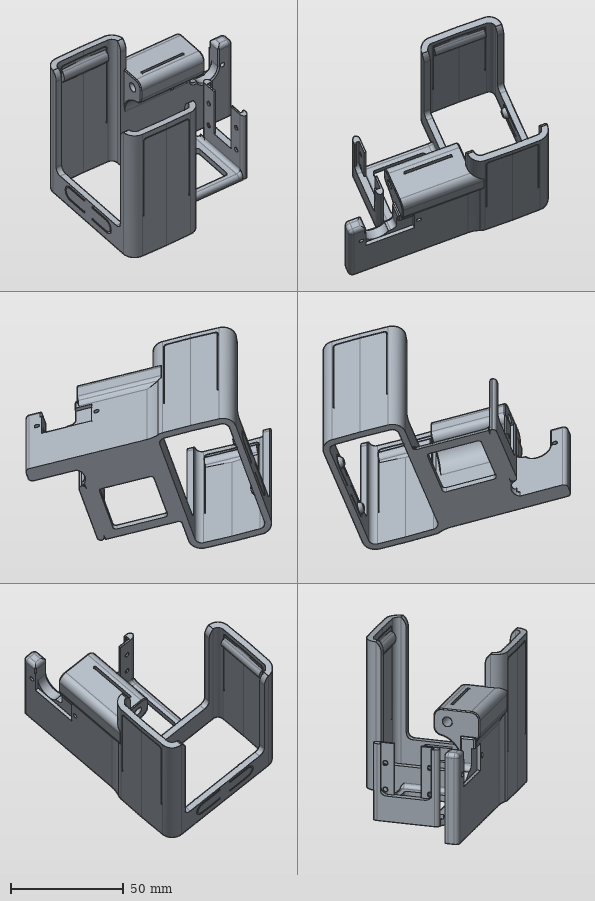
import cadquery as cq
import math

HEIGHT = 70.0
DEPTH = 38.4
PEAK_HALF = 33.1
CORNER_HALF = 32.8
WALL = 3.0
CORNER_R = 6.1
MID_Y = DEPTH / 2

WINDOW_HALF = 24.4
SILL_Z = 12.9
SILL_R = 3.0
FLARE_R = 6.0
FLARE_DROP = 4.8

TONGUE_HALF = 12.7
TONGUE_TOP = 67.1
TONGUE_ROOT = 22.8
TONGUE_GAP = 0.4
TONGUE_R = 1.6
RIDGE_HALF = 12.2
RIDGE_Z = 61.2
RIDGE_HALF_HEIGHT = 4.7
RIDGE_RISE = 2.2
RIDGE_FOOT = 0.9

TAB_X = 13.8
TAB_Z = 7.7
TAB_SLOT_R = 3.8
TAB_SLOT_W = 0.8
TAB_ROOT_X = 3.0
BUTTON_R = 2.8
BUTTON_TIP_R = 1.5
BUTTON_RISE = 2.0
BUTTON_BULGE = 0.3

ARM_LEFT = -31.4
ARM_RIGHT = -WINDOW_HALF
ARM_END = 96.9
ARM_TOP = 42.5
ARM_EDGE_R = 2.0
ARM_BLEND_R = 14.0

NOTCH_FRONT = 73.7
NOTCH_BACK = 89.0
NOTCH_FLOOR = 24.9
NOTCH_R = 6.2
NOTCH_STEP_R = 2.8
NOTCH_STEP_Z = 27.8
NOTCH_CHAMFER = 0.7
POCKET_FRONT = 65.8
POCKET_TOP = 37.6
POCKET_DEPTH = 1.6
PIN_HOLE_D = 2.3
PIN_HOLE_Z = 31.3
PIN_HOLE_YS = (63.5, 91.25)

BARREL_LEFT = -PEAK_HALF
BARREL_RIGHT = -11.5
BARREL_TOP = 54.4
BARREL_R = 4.0
BARREL_FRONT = 37.2
BARREL_CORNER_FRONT = 32.9
BARREL_BACK = 72.3
BARREL_LEFT_LOW = 43.9
BARREL_RIGHT_LOW = 45.6
LEFT_COVE_R = 5.0
RIGHT_COVE_R = 12.0
BARREL_CHAMFER = 0.5
BORE_X = -17.9
BORE_Z = 48.4
BORE_D = 4.6
VENT_W = 1.2
VENT_END_R = 0.5
VENT_FRONT = 42.2
VENT_BACK = 65.3

PLATE_HALF = 15.6
PLATE_FRONT = 73.6
PLATE_BACK = 76.9
PLATE_TOP = 36.2
PLATE_END_R = 2.0
FLOOR_THICK = 3.0
FLOOR_R = 2.0
FLOOR_SIDE_R = 1.5
FLOOR_WINDOW_HALF = 11.5
FLOOR_WINDOW_FRONT = 43.2
FLOOR_WINDOW_BACK = 68.5
FLOOR_WINDOW_R = 1.5
SCALLOP_R = 5.0
SCALLOP_Y = 77.4

BOARD_LOW = 12.0
LIP_OPENING_HALF = 6.4
LIP_BACK = 74.5
SLOT_HALF = 12.5
SLOT_BACK = 76.0
SLOT_R = 3.7
OUTER_OPENING_HALF = 11.9
SCREW_D = 2.2
SCREW_X = 10.5
SCREW_ZS = (14.0, 26.5)

OVERLAP = 1.0
PICK = 0.1


def box(x0, x1, y0, y1, z0, z1):
    return cq.Workplane("XY").box(x1 - x0, y1 - y0, z1 - z0, centered=False).translate((x0, y0, z0))


def near(x0, x1, y0, y1, z0, z1):
    """Selector for edges centred inside the given box, taken with a small margin."""
    return cq.selectors.BoxSelector((x0 - PICK, y0 - PICK, z0 - PICK), (x1 + PICK, y1 + PICK, z1 + PICK))


def bowed_block(inset, radius):
    """Full-height block whose two sides rise to a slight ridge at mid depth."""
    corner = CORNER_HALF - inset
    peak = PEAK_HALF - inset
    back = DEPTH - inset
    right = [(corner, inset), (peak, MID_Y), (corner, back)]
    left = [(-x, y) for x, y in reversed(right)]
    block = cq.Workplane("XY").polyline(right + left).close().extrude(HEIGHT)
    return block.edges("|Z").edges("<Y or >Y").fillet(radius)


def cage_window():
    """Opening through front and back, flaring outwards at the top."""
    flare_x = WINDOW_HALF + FLARE_R - math.sqrt(FLARE_R**2 - FLARE_DROP**2)
    half_angle = math.asin(FLARE_DROP / FLARE_R) / 2
    flare_z = HEIGHT - FLARE_DROP
    mid_x = WINDOW_HALF + FLARE_R * (1 - math.cos(half_angle))
    mid_z = flare_z + FLARE_R * math.sin(half_angle)
    return (
        cq.Workplane("XZ")
        .moveTo(-WINDOW_HALF, SILL_Z)
        .lineTo(WINDOW_HALF, SILL_Z)
        .lineTo(WINDOW_HALF, flare_z)
        .threePointArc((mid_x, mid_z), (flare_x, HEIGHT))
        .lineTo(-flare_x, HEIGHT)
        .threePointArc((-mid_x, mid_z), (-WINDOW_HALF, flare_z))
        .close()
        .extrude(-DEPTH)
        .edges("|Y and <Z")
        .fillet(SILL_R)
    )


def tongue_slot():
    """Thin gap around the top and sides of both tongues."""

    def panel(inset):
        half = TONGUE_HALF - inset
        return box(
            -PEAK_HALF, PEAK_HALF, MID_Y - half, MID_Y + half, TONGUE_ROOT, TONGUE_TOP - inset
        ).edges("|X and >Z").fillet(TONGUE_R - inset)

    return panel(0).cut(panel(TONGUE_GAP))


def catch_ridge():
    """Rounded ridge on the inner face of the left tongue."""
    face_x = WALL - PEAK_HALF
    root_x = face_x - WALL / 2
    low = RIDGE_Z - RIDGE_HALF_HEIGHT
    high = RIDGE_Z + RIDGE_HALF_HEIGHT
    foot_x = face_x + RIDGE_FOOT
    turn = 2 * math.atan(RIDGE_RISE / RIDGE_HALF_HEIGHT)
    foot_r = RIDGE_FOOT / (1 - math.cos(turn))
    foot_height = foot_r * math.sin(turn)
    sag_x = face_x + foot_r * (1 - math.cos(turn / 2))
    sag_height = foot_r * math.sin(turn / 2)
    return (
        cq.Workplane("XZ", origin=(0, MID_Y - RIDGE_HALF, 0))
        .moveTo(root_x, low)
        .lineTo(face_x, low)
        .threePointArc((sag_x, low + sag_height), (foot_x, low + foot_height))
        .threePointArc((face_x + RIDGE_RISE, RIDGE_Z), (foot_x, high - foot_height))
        .threePointArc((sag_x, high - sag_height), (face_x, high))
        .lineTo(root_x, high)
        .close()
        .extrude(-2 * RIDGE_HALF)
    )


def tab_slot():
    """U-shaped slot that frees the left spring tab."""

    def outline(radius):
        disc = cq.Workplane("XZ").center(-TAB_X, TAB_Z).circle(radius).extrude(-WALL)
        return disc.union(box(-TAB_X, -TAB_ROOT_X, 0, WALL, TAB_Z - radius, TAB_Z + radius))

    return outline(TAB_SLOT_R).cut(outline(TAB_SLOT_R - TAB_SLOT_W))


def tab_button():
    slant = math.hypot(BUTTON_R - BUTTON_TIP_R, BUTTON_RISE)
    flank_r = (BUTTON_R + BUTTON_TIP_R) / 2 + BUTTON_BULGE * BUTTON_RISE / slant
    flank_rise = BUTTON_RISE / 2 + BUTTON_BULGE * (BUTTON_R - BUTTON_TIP_R) / slant
    return (
        cq.Workplane("YZ", origin=(-TAB_X, WALL, TAB_Z))
        .lineTo(0, BUTTON_R)
        .threePointArc((flank_rise, flank_r), (BUTTON_RISE, BUTTON_TIP_R))
        .lineTo(BUTTON_RISE, 0)
        .close()
        .revolve(360, (0, 0), (1, 0))
    )


def mirrored_pair(solid):
    return solid.union(solid.mirror("YZ"))


def arm():
    """Upright wall with a notch, whose rear post has rounded edges."""
    wall = box(ARM_LEFT, ARM_RIGHT, DEPTH - WALL, ARM_END, 0, ARM_TOP).cut(arm_notch())
    post_top = near(ARM_LEFT, ARM_RIGHT, NOTCH_BACK, ARM_END, ARM_TOP, ARM_TOP)
    rounded = wall.edges("|Z and >Y").add(wall.edges(post_top)).fillet(ARM_EDGE_R)
    front_lip = near(ARM_LEFT, ARM_RIGHT, NOTCH_FRONT, NOTCH_FRONT, ARM_TOP, ARM_TOP)
    return rounded.edges(front_lip).chamfer(NOTCH_CHAMFER).cut(notch_chamfers())


def arm_blend():
    """Hollow blend, tangent to the arm's left face and to the round cage corner."""
    lean = (PEAK_HALF - CORNER_HALF) * CORNER_R / MID_Y
    corner_x = CORNER_R - CORNER_HALF - lean
    corner_y = DEPTH - CORNER_R
    center_x = ARM_LEFT - ARM_BLEND_R
    reach = CORNER_R + ARM_BLEND_R
    center_y = corner_y + math.sqrt(reach**2 - (corner_x - center_x) ** 2)
    end_angle = math.atan2(corner_y - center_y, corner_x - center_x)

    def on_blend(angle):
        return (center_x + ARM_BLEND_R * math.cos(angle), center_y + ARM_BLEND_R * math.sin(angle))

    return (
        cq.Workplane("XY")
        .moveTo(ARM_LEFT, center_y)
        .threePointArc(on_blend(end_angle / 2), on_blend(end_angle))
        .lineTo(corner_x, corner_y)
        .lineTo(corner_x, center_y)
        .close()
        .extrude(BARREL_LEFT_LOW - LEFT_COVE_R / 2)
    )


def notch_outline(x):
    """Round-bottomed notch through the arm, with a shallow step on its front side."""
    center_y = NOTCH_BACK - NOTCH_R
    center_z = NOTCH_FLOOR + NOTCH_R
    step_y = center_y - math.sqrt(NOTCH_R**2 - (center_z - NOTCH_STEP_Z) ** 2)
    diagonal = math.sqrt(0.5)
    top = ARM_TOP + OVERLAP
    return (
        cq.Workplane("YZ", origin=(x, 0, 0))
        .moveTo(NOTCH_BACK, top)
        .lineTo(NOTCH_BACK, center_z)
        .threePointArc((center_y, NOTCH_FLOOR), (step_y, NOTCH_STEP_Z))
        .lineTo(NOTCH_FRONT + NOTCH_STEP_R, NOTCH_STEP_Z)
        .threePointArc(
            (NOTCH_FRONT + NOTCH_STEP_R * (1 - diagonal), NOTCH_STEP_Z + NOTCH_STEP_R * (1 - diagonal)),
            (NOTCH_FRONT, NOTCH_STEP_Z + NOTCH_STEP_R),
        )
        .lineTo(NOTCH_FRONT, top)
        .close()
    )


def arm_notch():
    return notch_outline(ARM_LEFT).extrude(ARM_RIGHT - ARM_LEFT)


def notch_chamfers():
    """Bevel around the notch: all of it on the right face, only above the pocket on the left face."""
    inner_x = ARM_RIGHT - NOTCH_CHAMFER
    right = notch_outline(inner_x).extrude(NOTCH_CHAMFER, taper=-45)
    middle_x = (ARM_LEFT + ARM_RIGHT) / 2
    above_pocket = box(ARM_LEFT, middle_x, NOTCH_FRONT - OVERLAP, ARM_END, POCKET_TOP, ARM_TOP)
    return right.union(right.mirror("YZ", (middle_x, 0, 0)).intersect(above_pocket))


def barrel_side(edge_x, low_z, arm_x, cove_r):
    """Mid and end points of the round under one barrel side and of the cove running onto the arm."""
    side = math.copysign(1, edge_x - arm_x)
    reach = BARREL_R + cove_r
    round_x = edge_x - side * BARREL_R
    cove_x = arm_x + side * cove_r
    angle = math.acos((cove_x - round_x) * side / reach)
    cove_z = low_z - reach * math.sin(angle)

    def on_round(a):
        return (round_x + side * BARREL_R * math.cos(a), low_z - BARREL_R * math.sin(a))

    def on_cove(a):
        return (cove_x - side * cove_r * math.cos(a), cove_z + cove_r * math.sin(a))

    return on_round(angle / 2), on_round(angle), on_cove(angle / 2), (arm_x, cove_z)


def barrel_block(front):
    left = barrel_side(BARREL_LEFT, BARREL_LEFT_LOW, ARM_LEFT, LEFT_COVE_R)
    right = barrel_side(BARREL_RIGHT, BARREL_RIGHT_LOW, ARM_RIGHT, RIGHT_COVE_R)
    return (
        cq.Workplane("XZ", origin=(0, front, 0))
        .moveTo(BARREL_LEFT, BARREL_TOP)
        .lineTo(BARREL_LEFT, BARREL_LEFT_LOW)
        .threePointArc(left[0], left[1])
        .threePointArc(left[2], left[3])
        .lineTo(*right[3])
        .threePointArc(right[2], right[1])
        .threePointArc(right[0], (BARREL_RIGHT, BARREL_RIGHT_LOW))
        .lineTo(BARREL_RIGHT, BARREL_TOP)
        .close()
        .extrude(front - BARREL_BACK)
        .edges("|Y and >Z")
        .fillet(BARREL_R)
    )


def barrel():
    outside_cage = box(BARREL_LEFT, ARM_RIGHT, BARREL_CORNER_FRONT, DEPTH, 0, BARREL_TOP)
    nose = barrel_block(BARREL_CORNER_FRONT).intersect(outside_cage)
    return barrel_block(BARREL_FRONT).faces("<Y or >Y").chamfer(BARREL_CHAMFER).union(nose)


def barrel_bore():
    """Lengthwise bore with a narrow vent slot down to it from the top."""
    bore = (
        cq.Workplane("XZ", origin=(BORE_X, DEPTH - WALL, BORE_Z))
        .circle(BORE_D / 2)
        .extrude(DEPTH - WALL - BARREL_BACK)
    )
    vent = box(
        BORE_X - VENT_W / 2, BORE_X + VENT_W / 2, VENT_FRONT, VENT_BACK, BORE_Z, BARREL_TOP
    ).edges("|Z and >Y").fillet(VENT_END_R)
    return bore.union(vent)


def floor():
    """Slab from cage to plate with coves at both ends and a rounded right edge."""
    diagonal = FLOOR_R * (1 - math.sqrt(0.5))
    cove_top = FLOOR_THICK + FLOOR_R
    slab = (
        cq.Workplane("YZ", origin=(ARM_RIGHT, 0, 0))
        .moveTo(DEPTH, 0)
        .lineTo(PLATE_FRONT, 0)
        .lineTo(PLATE_FRONT, cove_top)
        .threePointArc((PLATE_FRONT - diagonal, FLOOR_THICK + diagonal), (PLATE_FRONT - FLOOR_R, FLOOR_THICK))
        .lineTo(DEPTH + FLOOR_R, FLOOR_THICK)
        .threePointArc((DEPTH + diagonal, FLOOR_THICK + diagonal), (DEPTH, cove_top))
        .close()
        .extrude(PLATE_HALF - ARM_RIGHT)
    )
    inner_front = DEPTH + 2 * PICK
    inner_back = PLATE_FRONT - 2 * PICK
    top_right = near(PLATE_HALF, PLATE_HALF, inner_front, inner_back, FLOOR_THICK, cove_top)
    slab = slab.edges(top_right).fillet(FLOOR_R)
    opening = box(
        -FLOOR_WINDOW_HALF, FLOOR_WINDOW_HALF, FLOOR_WINDOW_FRONT, FLOOR_WINDOW_BACK, 0, FLOOR_THICK
    ).edges("|Z").fillet(FLOOR_WINDOW_R)
    left_bay = box(ARM_RIGHT, -PLATE_HALF, DEPTH, PLATE_BACK, 0, FLOOR_THICK)
    return slab.cut(opening).union(left_bay).union(floor_side_blend())


def floor_side_blend():
    """Small hollow corner between the floor's right edge and the back of the cage."""
    corner = box(
        PLATE_HALF, PLATE_HALF + FLOOR_SIDE_R, DEPTH, DEPTH + FLOOR_SIDE_R, 0, FLOOR_THICK - FLOOR_R
    )
    hollow = (
        cq.Workplane("XY")
        .center(PLATE_HALF + FLOOR_SIDE_R, DEPTH + FLOOR_SIDE_R)
        .circle(FLOOR_SIDE_R)
        .extrude(FLOOR_THICK)
    )
    return corner.cut(hollow)


def plate():
    """Upright plate with round ends and a U-shaped slot that holds a small board."""
    half_thick = (PLATE_BACK - PLATE_FRONT) / 2
    flat_half = PLATE_HALF - math.sqrt(PLATE_END_R**2 - (PLATE_END_R - half_thick) ** 2)
    half_angle = math.acos(1 - half_thick / PLATE_END_R) / 2
    bulge_x = flat_half + PLATE_END_R * math.sin(half_angle)
    bulge_y = PLATE_END_R * (1 - math.cos(half_angle))
    ridge_y = PLATE_FRONT + half_thick
    body = (
        cq.Workplane("XY")
        .moveTo(-flat_half, PLATE_FRONT)
        .lineTo(flat_half, PLATE_FRONT)
        .threePointArc((bulge_x, PLATE_FRONT + bulge_y), (PLATE_HALF, ridge_y))
        .threePointArc((bulge_x, PLATE_BACK - bulge_y), (flat_half, PLATE_BACK))
        .lineTo(-flat_half, PLATE_BACK)
        .threePointArc((-bulge_x, PLATE_BACK - bulge_y), (-PLATE_HALF, ridge_y))
        .threePointArc((-bulge_x, PLATE_FRONT + bulge_y), (-flat_half, PLATE_FRONT))
        .close()
        .extrude(PLATE_TOP)
    )

    def opening(half, front, back):
        return box(-half, half, front, back, BOARD_LOW, PLATE_TOP)

    lip = opening(LIP_OPENING_HALF, PLATE_FRONT, LIP_BACK)
    slot = opening(SLOT_HALF, LIP_BACK, PLATE_BACK).edges("|Y and <Z").fillet(SLOT_R)
    slot = slot.intersect(
        opening(SLOT_HALF, LIP_BACK, SLOT_BACK).union(opening(OUTER_OPENING_HALF, SLOT_BACK, PLATE_BACK))
    )
    screws = (
        cq.Workplane("XZ", origin=(0, PLATE_FRONT, 0))
        .pushPoints([(x, z) for x in (-SCREW_X, SCREW_X) for z in SCREW_ZS])
        .circle(SCREW_D / 2)
        .extrude(PLATE_FRONT - PLATE_BACK)
    )
    return body.cut(lip).cut(slot).cut(screws)


interior = bowed_block(WALL, CORNER_R - WALL)
cage = bowed_block(0, CORNER_R).cut(interior).cut(cage_window())

pocket = box(ARM_LEFT, ARM_LEFT + POCKET_DEPTH, POCKET_FRONT, NOTCH_BACK, NOTCH_FLOOR, POCKET_TOP)
pin_holes = (
    cq.Workplane("YZ", origin=(ARM_LEFT, 0, 0))
    .pushPoints([(y, PIN_HOLE_Z) for y in PIN_HOLE_YS])
    .circle(PIN_HOLE_D / 2)
    .extrude(ARM_RIGHT - ARM_LEFT + OVERLAP)
)

scallop_x = (ARM_RIGHT - PLATE_HALF) / 2
scallop = cq.Workplane("XY").center(scallop_x, SCALLOP_Y).circle(SCALLOP_R).extrude(FLOOR_THICK + FLOOR_R)
base = floor().cut(scallop).union(plate())

handle = arm().union(arm_blend()).union(barrel())
handle = handle.cut(barrel_bore()).cut(pocket).cut(pin_holes).cut(interior)
result = cage.union(handle).union(base)
result = result.cut(tongue_slot()).cut(mirrored_pair(tab_slot()))
result = result.union(mirrored_pair(catch_ridge())).union(mirrored_pair(tab_button()))